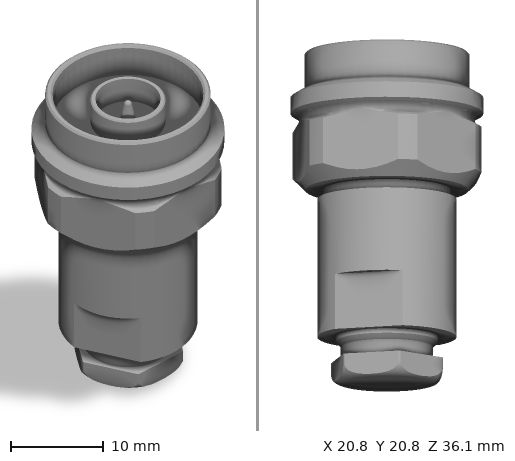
import cadquery as cq
import math

total_height = 36.12

sleeve_radius = 8.92
sleeve_base_z = 32.1
rim_chamfer = 0.2
flange_radius = 10.4
flange_top_z = 31.25
coupling_base_z = 21.15
coupling_base_radius = 8.8
hex_chamfer_angle = math.radians(45)
coupling_apothem = 9.5

groove_z = 28.65
groove_half_width = 0.9
groove_radius = 0.65
groove_side_angle = math.radians(30)

bore_radius = 8.13
bore_floor_z = 32.22
contact_ring_radius = 4.05
contact_ring_bore = 3.5
contact_ring_top_z = 35.3
contact_ring_chamfer = 0.15
pin_base_radius = 0.9
pin_tip_radius = 0.45
pin_tip_z = 35.0

neck_radius = 6.85
body_radius = 7.5
body_top_z = 20.15
body_base_z = 5.1
body_apothem = 6.45
body_flat_top_z = 11.12

collar_radius = 5.53
collar_base_z = 4.6
shank_radius = 5.0
shank_top_z = 4.0
gland_nut_height = 2.53
gland_apothem = 5.5
gland_turned_radius = 6.3
gland_edge_rounding = 1.4


def hexagon(apothem, base_z, height):
    """Hexagonal prism with corners on the X axis."""
    corner_diameter = 2 * apothem / math.cos(math.pi / 6)
    return cq.Workplane("XY").workplane(offset=base_z).polygon(6, corner_diameter).extrude(height)


def revolve_about_z(profile):
    return profile.close().revolve(360, (0, 0, 0), (0, 1, 0))


def make_coupling_nut():
    """Turned coupling nut with its hexagon milled below the groove."""
    tangent_height = groove_radius * math.cos(groove_side_angle)
    side_depth = (groove_half_width - tangent_height) / math.tan(groove_side_angle)
    tangent_radius = flange_radius - side_depth
    root_radius = tangent_radius - groove_radius * (1 - math.sin(groove_side_angle))
    chamfer_height = (flange_radius - coupling_base_radius) * math.tan(hex_chamfer_angle)

    turned = revolve_about_z(
        cq.Workplane("XZ")
        .moveTo(0, coupling_base_z)
        .lineTo(coupling_base_radius, coupling_base_z)
        .lineTo(flange_radius, coupling_base_z + chamfer_height)
        .lineTo(flange_radius, groove_z - groove_half_width)
        .lineTo(tangent_radius, groove_z - tangent_height)
        .threePointArc((root_radius, groove_z), (tangent_radius, groove_z + tangent_height))
        .lineTo(flange_radius, groove_z + groove_half_width)
        .lineTo(flange_radius, flange_top_z)
        .lineTo(sleeve_radius, sleeve_base_z)
        .lineTo(sleeve_radius, total_height - rim_chamfer)
        .lineTo(sleeve_radius - rim_chamfer, total_height)
        .lineTo(bore_radius + rim_chamfer, total_height)
        .lineTo(bore_radius, total_height - rim_chamfer)
        .lineTo(bore_radius, bore_floor_z)
        .lineTo(0, bore_floor_z)
    )
    hex_height = groove_z - coupling_base_z
    blank = cq.Workplane("XY").workplane(offset=coupling_base_z).circle(flange_radius).extrude(hex_height)
    milled_away = blank.cut(hexagon(coupling_apothem, coupling_base_z, hex_height))
    return turned.cut(milled_away)


def make_contact_ring():
    """Thin outer-contact ring standing on the bore floor."""
    return (
        cq.Workplane("XY").workplane(offset=bore_floor_z)
        .circle(contact_ring_radius)
        .extrude(contact_ring_top_z - bore_floor_z)
        .faces(">Z").chamfer(contact_ring_chamfer)
        .faces(">Z").workplane()
        .circle(contact_ring_bore)
        .cutBlind(bore_floor_z - contact_ring_top_z)
    )


def make_pin():
    """Tapered centre pin with a hemispherical tip."""
    tip_centre_z = pin_tip_z - pin_tip_radius
    arc_mid = pin_tip_radius * math.sqrt(0.5)
    return revolve_about_z(
        cq.Workplane("XZ")
        .moveTo(0, bore_floor_z)
        .lineTo(pin_base_radius, bore_floor_z)
        .lineTo(pin_tip_radius, tip_centre_z)
        .threePointArc((arc_mid, tip_centre_z + arc_mid), (0, pin_tip_z))
    )


def make_body():
    """Neck, cylindrical body with two flats facing Y, collar and shank."""
    turned = revolve_about_z(
        cq.Workplane("XZ")
        .moveTo(0, gland_nut_height)
        .lineTo(shank_radius, gland_nut_height)
        .lineTo(shank_radius, shank_top_z)
        .lineTo(collar_radius, collar_base_z)
        .lineTo(collar_radius, body_base_z)
        .lineTo(body_radius, body_base_z)
        .lineTo(body_radius, body_top_z)
        .lineTo(neck_radius, body_top_z)
        .lineTo(neck_radius, coupling_base_z)
        .lineTo(0, coupling_base_z)
    )
    flat_depth = body_radius - body_apothem
    for side in (-1, 1):
        flat = cq.Workplane("XY").box(
            2 * body_radius, flat_depth, body_flat_top_z - body_base_z, centered=(True, True, False)
        )
        turned = turned.cut(flat.translate((0, side * (body_apothem + flat_depth / 2), body_base_z)))
    return turned


def make_gland_nut():
    """Hexagonal nut with turned corners and a rounded lower edge."""
    envelope = (
        cq.Workplane("XY")
        .circle(gland_turned_radius)
        .extrude(gland_nut_height)
        .faces("<Z").edges().fillet(gland_edge_rounding)
    )
    return hexagon(gland_apothem, 0, gland_nut_height).intersect(envelope)


result = (
    make_coupling_nut()
    .union(make_contact_ring())
    .union(make_pin())
    .union(make_body())
    .union(make_gland_nut())
)